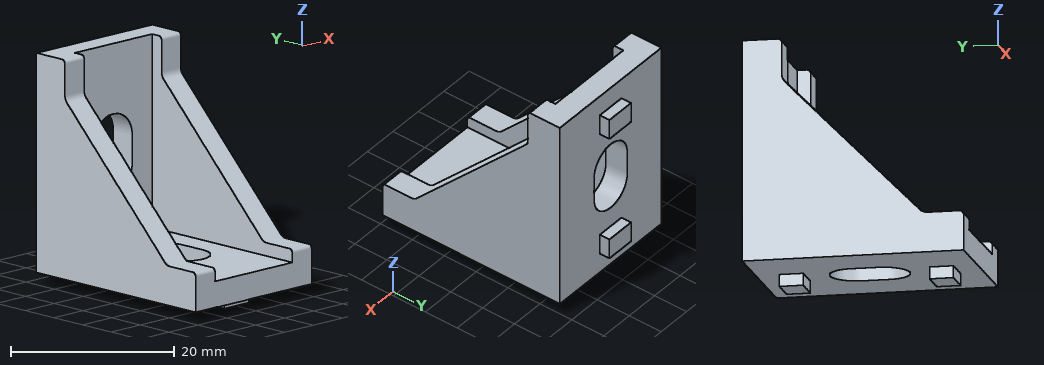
import cadquery as cq

overall_size = 29.3
tab_height = 1.5
leg_length = overall_size - tab_height
width = 20.0
wall_thickness = 3.35
lip_height = 5.0
tip_radius = 0.5
bend_radius = 1.17

slot_length = 10.0
slot_width = 6.5

tab_width = 4.25
tab_length = 3.0
tab_end_gap = 3.0


def make_body():
    """Side profile extruded over the full width, with rounded lips."""
    slope_end = leg_length - lip_height
    profile = [
        (0, 0),
        (-leg_length, 0),
        (-leg_length, lip_height),
        (-slope_end, lip_height),
        (-lip_height, slope_end),
        (-lip_height, leg_length),
        (0, leg_length),
    ]
    body = cq.Workplane("YZ").polyline(profile).close().extrude(width / 2, both=True)
    tips = [(-leg_length, lip_height), (-lip_height, leg_length)]
    bends = [(-slope_end, lip_height), (-lip_height, slope_end)]
    for corners, radius in ((tips, tip_radius), (bends, bend_radius)):
        for y, z in corners:
            edge = cq.selectors.NearestToPointSelector((0, y, z))
            body = body.edges("|X").edges(edge).fillet(radius)
    return body


def make_pocket():
    """Space between the side walls, open at the end of both legs."""
    return (
        cq.Workplane("XY")
        .box(width - 2 * wall_thickness, leg_length, leg_length, centered=(True, False, False))
        .translate((0, -leg_length - wall_thickness, wall_thickness))
    )


def make_floor_features():
    """Slot cutter and pair of tabs for the floor plate."""
    slot = (
        cq.Workplane("XY")
        .center(0, -leg_length / 2)
        .slot2D(slot_length, slot_width, 90)
        .extrude(wall_thickness)
    )
    tab_offset = leg_length / 2 - tab_end_gap - tab_length / 2
    tabs = (
        cq.Workplane("XY")
        .center(0, -leg_length / 2)
        .pushPoints([(0, -tab_offset), (0, tab_offset)])
        .rect(tab_width, tab_length)
        .extrude(-tab_height)
    )
    return slot, tabs


def turn_to_back(shape):
    """Turn a floor feature a quarter turn about X onto the back plate."""
    return shape.rotate((0, 0, 0), (1, 0, 0), 90).translate((0, 0, leg_length))


floor_slot, floor_tabs = make_floor_features()

result = make_body().cut(make_pocket())
result = result.cut(floor_slot).cut(turn_to_back(floor_slot))
result = result.union(floor_tabs).union(turn_to_back(floor_tabs))